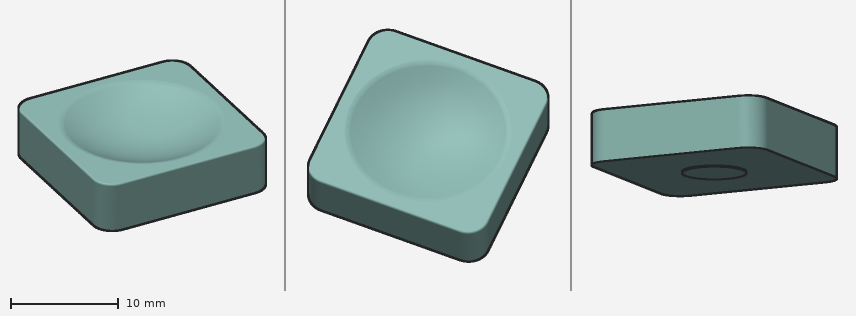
import cadquery as cq

side = 18.0
total_height = 5.1
foot_height = 0.1
body_height = total_height - foot_height
corner_radius = 2.0
top_edge_radius = 0.2

foot_diameter = 6.0

dish_sphere_radius = 15.0
dish_depth = 2.0
dish_rim_radius = 1.0


def make_body():
    """Block standing on Z = 0, with rounded corners and a softened top edge."""
    block = cq.Workplane("XY").box(side, side, body_height, centered=(True, True, False))
    block = block.edges("|Z").fillet(corner_radius)
    return block.faces(">Z").edges().fillet(top_edge_radius)


def cut_dish(body):
    """Sink a shallow spherical dish into the top and round its rim."""
    sphere_center_height = body_height - dish_depth + dish_sphere_radius
    ball = cq.Workplane("XY").sphere(dish_sphere_radius).translate((0, 0, sphere_center_height))
    dished = body.cut(ball)
    rim = dished.faces(">Z").edges("%CIRCLE").edges(cq.selectors.RadiusNthSelector(-1))
    return rim.fillet(dish_rim_radius)


def make_foot():
    """Thin disc below the block."""
    return cq.Workplane("XY").circle(foot_diameter / 2).extrude(-foot_height)


result = cut_dish(make_body()).union(make_foot())